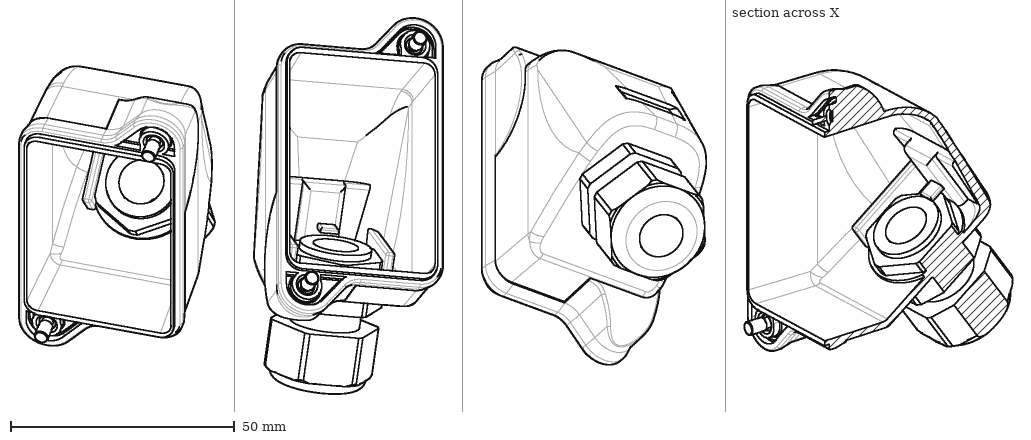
import cadquery as cq
import math


FLANGE_HALF_WIDTH = 18.99
FLANGE_HALF_HEIGHT = 27.7
FLANGE_CORNER_RADIUS = 5.5
FLANGE_RIM = 1.9
FLANGE_THICKNESS = 4.9
FLANGE_FLARE = 0.7
RIM_FILLET = 0.55
EAR_RADIUS = 6.55
EAR_X = FLANGE_HALF_WIDTH - EAR_RADIUS
EAR_Z = 29.6
EAR_RAMP_ANGLE = 49.0
EAR_RAMP_RADIUS = 4.4
EAR_DOME_RADIUS = 15.8
EAR_DOME_Y = 0.9
EAR_DOME_Z = 21.0
EAR_DOME_FILLET = 0.8

SCREW_RADIUS = 1.57
SCREW_NECK_RADIUS = 1.25
SCREW_NECK_LENGTH = 0.55
SCREW_TIP_Y = -4.7
SCREW_CHAMFER = 0.2
SCREW_BORE_RADIUS = 1.9
SCREW_BORE_DEPTH = 1.0
SCREW_BORE_CHAMFER = 0.55
POCKET_INSET = 1.8
POCKET_HUB_RADIUS = 3.4
POCKET_INNER_Z = 26.9
POCKET_DEPTH = 2.0
POCKET_FLOOR_CHAMFER = 0.3
HUB_BASE_INNER = 3.2
HUB_BASE_OUTER = 2.0

LIP_HALF_WIDTH = 17.3
LIP_HALF_HEIGHT = 26.3
LIP_HEIGHT = 1.2
LIP_CORNER_RADIUS = 3.6

REACH = 60.0
TILT = 35.0
WALL = 1.7
HOOD_HALF_HEIGHT = 26.7
HOOD_FRONT_HALF_WIDTH = 18.4
HOOD_BEND_HALF_WIDTH = 17.7
HOOD_BEND_Y = 17.6
HOOD_REAR_HALF_WIDTH = 12.7
HOOD_REAR_Y = 50.0
HOOD_BACK = 37.4
HOOD_FLOOR = 31.5
CROWN_RADIUS = 20.0
ROUND_TOP_FLAT = 13.0
ROUND_TOP_SIDE = 19.2
ROUND_TOP_SHOULDER = 31.5
ROUND_TOP_DRAFT = 0.05
ROUND_FOOT_FLAT = 2.3
ROUND_FOOT_SIDE = 15.1
ROUND_FOOT_SHOULDER = 26.0
ROUND_FOOT_DRAFT = 0.2
HOOD_CORNER_RADIUS = 4.2
FLOOR_FILLET = 2.4
FLOOR_THICKNESS = 1.9
CAVITY_CORNER_RADIUS = 2.5
CAVITY_FLOOR_FILLET = 2.2

GLAND_X = 1.4
GLAND_OFFSET = 18.95
BORE_RADIUS = 5.1
COLLAR_RADIUS = 8.1
COLLAR_TOP = 23.9
LOCKNUT_TOP = 25.4
LOCKNUT_FLATS = 20.0
LOCKNUT_CORNER_RADIUS = 11.1
WASHER_TOP = 28.7
WASHER_RADIUS = 11.8
HEX_FLATS = 21.9
HEX_CORNER_RADIUS = 12.3
BODY_HEX_END = 37.2
NECK_RADIUS = 7.85
CAP_START = 42.0
CAP_END = 56.0
CAP_ROUND = 2.6
CAP_CORNER_CHAMFER = 0.6

BLOCK_FACE = 33.2
BLOCK_TOP = 13.3
BLOCK_TOP_HALF_WIDTH = 10.8
BLOCK_FOOT_HALF_WIDTH = 8.2
RIB_FACE = 30.6
RIB_HALF_WIDTH = 4.8
RIB_FILLET = 1.5
BLOCK_FILLET = 0.9
LATCH_WIDTH = 4.1
LATCH_TOP = 22.2
LATCH_THICKNESS = 1.1
LATCH_FACE = 26.7
LATCH_FILLET = 0.4
GUIDE_THICKNESS = 2.1
GUIDE_TOP = 22.8
GUIDE_START = 12.0
GUIDE_CLEARANCE = 0.05
GUIDE_FILLET = 0.6

RECESS_TOP = 15.5
RECESS_LEDGE_Z = 3.15
RECESS_DEPTH = 1.1
RECESS_MOUTH_HALF_WIDTH = 8.8
RECESS_FLOOR_HALF_WIDTH = 6.2

SIN_TILT = math.sin(math.radians(TILT))
COS_TILT = math.cos(math.radians(TILT))

FACING_UP = cq.selectors.DirectionNthSelector(cq.Vector(0, -SIN_TILT, COS_TILT), -1)
FACING_DOWN = cq.selectors.DirectionNthSelector(cq.Vector(0, SIN_TILT, -COS_TILT), -1)
FACING_FRONT = cq.selectors.DirectionNthSelector(cq.Vector(0, -COS_TILT, -SIN_TILT), -1)
FRONTMOST = cq.selectors.DirectionMinMaxSelector(cq.Vector(0, -COS_TILT, -SIN_TILT), True)


def tilted(along):
    """Workplane across the gland axis: local x is X, local y runs to the back wall."""
    plane = cq.Plane(
        origin=(0, along * SIN_TILT, -along * COS_TILT),
        xDir=(1, 0, 0),
        normal=(0, -SIN_TILT, COS_TILT),
    )
    return cq.Workplane(plane)


def facing(y):
    """Workplane parallel to the sealing face at the given y; extrudes towards -Y."""
    return cq.Workplane("XZ", origin=(0, y, 0))


def turned(shape):
    """The same shape half a turn about the Y axis."""
    return shape.rotate((0, 0, 0), (0, 1, 0), 180)


def both_ears(shape):
    return shape.union(turned(shape))


def flange_outline(y, inset):
    """Closed outline of the flange with its two ears, drawn in by inset."""
    width = FLANGE_HALF_WIDTH - inset
    height = FLANGE_HALF_HEIGHT - inset
    radius = EAR_RADIUS - inset
    corner = FLANGE_CORNER_RADIUS - inset
    ramp_radius = EAR_RAMP_RADIUS + inset
    ramp = math.radians(EAR_RAMP_ANGLE)
    middle = (ramp - math.pi / 2) / 2
    ear_start = (EAR_X - radius * math.sin(ramp), EAR_Z + radius * math.cos(ramp))
    ear_middle = (EAR_X - radius * math.sin(middle), EAR_Z + radius * math.cos(middle))
    ear_end = (EAR_X + radius, EAR_Z)
    foot_x = ear_start[0] - (ear_start[1] - height) / math.tan(ramp)
    setback = ramp_radius * math.tan(ramp / 2)
    ramp_foot = (foot_x - setback, height)
    ramp_middle = (
        ramp_foot[0] + ramp_radius * math.sin(ramp / 2),
        height + ramp_radius * (1 - math.cos(ramp / 2)),
    )
    ramp_top = (foot_x + setback * math.cos(ramp), height + setback * math.sin(ramp))
    diagonal = corner * (1 - math.sqrt(0.5))

    outline = facing(y).moveTo(-width + corner, height)
    for side in (1, -1):
        def point(p):
            return (side * p[0], side * p[1])
        outline = (
            outline.lineTo(*point(ramp_foot))
            .threePointArc(point(ramp_middle), point(ramp_top))
            .lineTo(*point(ear_start))
            .threePointArc(point(ear_middle), point(ear_end))
            .lineTo(*point((width, -height + corner)))
            .threePointArc(
                point((width - diagonal, -height + diagonal)),
                point((width - corner, -height)),
            )
        )
    return outline.close()


def flange():
    rim = flange_outline(0, 0).extrude(-FLANGE_RIM).faces("<Y").edges().fillet(RIM_FILLET)
    lower = flange_outline(FLANGE_RIM, 0).wires().val()
    upper = flange_outline(FLANGE_THICKNESS, FLANGE_FLARE).wires().val()
    flare = cq.Workplane(cq.Solid.makeLoft([lower, upper], True))
    return rim.union(flare)


def ear_domes():
    """The two ears carried back from the flange and rounded off by cylinders across X."""
    prism = flange_outline(0, FLANGE_FLARE).extrude(-EAR_DOME_RADIUS - EAR_DOME_Y)
    dome = (
        cq.Workplane("YZ", origin=(-FLANGE_HALF_WIDTH, 0, 0))
        .center(EAR_DOME_Y, EAR_DOME_Z)
        .circle(EAR_DOME_RADIUS)
        .extrude(2 * FLANGE_HALF_WIDTH)
    )
    ear_side = cq.Workplane("XY").box(
        FLANGE_HALF_WIDTH, REACH, REACH, centered=(False, True, False)
    )
    ear = prism.intersect(dome).intersect(ear_side)
    side_point = (FLANGE_HALF_WIDTH, EAR_DOME_Y + EAR_DOME_RADIUS, EAR_DOME_Z)
    ear = ear.edges(cq.selectors.NearestToPointSelector(side_point)).fillet(EAR_DOME_FILLET)
    return both_ears(ear)


def hood_envelope(front, inset, floor_inset, corner, floor_fillet):
    """Solid hood shape; the cavity is the same shape drawn in by the wall thickness."""
    height = HOOD_HALF_HEIGHT - inset
    back = HOOD_BACK - inset
    floor = HOOD_FLOOR - floor_inset
    front_width = HOOD_FRONT_HALF_WIDTH - inset
    bend_width = HOOD_BEND_HALF_WIDTH - inset
    rear_width = HOOD_REAR_HALF_WIDTH - inset

    top_y = (back - height * SIN_TILT) / COS_TILT
    bottom_y = (back + height * SIN_TILT) / COS_TILT
    profile = (
        cq.Workplane("YZ", origin=(-FLANGE_HALF_WIDTH, 0, 0))
        .polyline([(front, -height), (front, height), (top_y, height), (bottom_y, -height)])
        .close()
        .extrude(2 * FLANGE_HALF_WIDTH)
    )
    crown_edge = cq.selectors.NearestToPointSelector((0, top_y, height))
    profile = profile.edges(crown_edge).fillet(CROWN_RADIUS - inset)

    plan = (
        cq.Workplane("XY", origin=(0, 0, -2 * height))
        .moveTo(0, front)
        .lineTo(front_width, front)
        .lineTo(bend_width, HOOD_BEND_Y)
        .tangentArcPoint((rear_width, HOOD_REAR_Y), relative=False)
        .lineTo(0, HOOD_REAR_Y)
        .mirrorY()
        .extrude(4 * height)
    )
    hood = profile.intersect(plan)
    for level in (height, -height):
        for side in (front_width, -front_width):
            edge = cq.selectors.NearestToPointSelector((side, HOOD_BEND_Y / 2, level))
            hood = hood.edges(edge).fillet(corner)

    hood = hood.intersect(rounded_back(inset, floor))
    return hood.faces(FACING_DOWN).edges().fillet(floor_fillet)


def rounded_back(inset, floor):
    """Tall D-shaped loft along the gland axis that rounds the hood's rear corners."""
    def section(along, flat, side, shoulder, draft):
        """Half-widths flat at the back and side at the shoulder, where the rounding starts."""
        back = HOOD_BACK - inset
        outer = side - inset
        start = (outer + draft * (shoulder + REACH), -REACH)
        return (
            tilted(along)
            .moveTo(-start[0], start[1])
            .lineTo(start[0], start[1])
            .lineTo(outer, shoulder)
            .spline([(flat, back)], tangents=[(-draft, 1), (-1, 0)], includeCurrent=True)
            .lineTo(-flat, back)
            .spline([(-outer, shoulder)], tangents=[(-1, 0), (-draft, -1)], includeCurrent=True)
            .close()
            .wires()
            .val()
        )
    upper = section(
        -REACH / 2, ROUND_TOP_FLAT, ROUND_TOP_SIDE, ROUND_TOP_SHOULDER, ROUND_TOP_DRAFT
    )
    lower = section(
        floor, ROUND_FOOT_FLAT, ROUND_FOOT_SIDE, ROUND_FOOT_SHOULDER, ROUND_FOOT_DRAFT
    )
    return cq.Workplane(cq.Solid.makeLoft([upper, lower], True))


def sealing_lip():
    return (
        facing(0)
        .rect(2 * LIP_HALF_WIDTH, 2 * LIP_HALF_HEIGHT)
        .extrude(LIP_HEIGHT)
        .edges("|Y")
        .fillet(LIP_CORNER_RADIUS)
    )


def tilted_box(x_range, tilted_range, along_range):
    """Box given by its ranges in X, towards the back wall and along the gland axis."""
    return (
        tilted(along_range[1])
        .moveTo(x_range[0], tilted_range[0])
        .lineTo(x_range[1], tilted_range[0])
        .lineTo(x_range[1], tilted_range[1])
        .lineTo(x_range[0], tilted_range[1])
        .close()
        .extrude(along_range[1] - along_range[0])
    )


def back_block():
    """Tapered block on the back wall that backs the finger recess, with its centre rib."""
    plane = cq.Plane(
        origin=(0, BLOCK_FACE * COS_TILT, BLOCK_FACE * SIN_TILT),
        xDir=(1, 0, 0),
        normal=(0, COS_TILT, SIN_TILT),
    )
    block = (
        cq.Workplane(plane)
        .polyline([
            (-BLOCK_TOP_HALF_WIDTH, BLOCK_TOP),
            (BLOCK_TOP_HALF_WIDTH, BLOCK_TOP),
            (BLOCK_FOOT_HALF_WIDTH, HOOD_FLOOR),
            (-BLOCK_FOOT_HALF_WIDTH, HOOD_FLOOR),
        ])
        .close()
        .extrude(HOOD_BACK - BLOCK_FACE)
    )
    top_edge = block.faces(FACING_UP).edges(FRONTMOST)
    block = top_edge.fillet(BLOCK_FILLET)
    rib = tilted_box((-RIB_HALF_WIDTH, RIB_HALF_WIDTH), (RIB_FACE, HOOD_BACK), (BLOCK_TOP, HOOD_FLOOR))
    rib = rib.faces(FACING_FRONT).edges().fillet(RIB_FILLET)
    return block.union(rib)


def latch():
    """Small catch on the rib, in line with the gland."""
    catch = tilted_box(
        (GLAND_X - LATCH_WIDTH / 2, GLAND_X + LATCH_WIDTH / 2),
        (LATCH_FACE, HOOD_BACK),
        (LATCH_TOP, LATCH_TOP + LATCH_THICKNESS),
    )
    return catch.faces(FACING_UP).edges().fillet(LATCH_FILLET)


def guide_walls():
    """Two walls on the floor that keep the locknut from turning."""
    inner = LOCKNUT_FLATS / 2 + GUIDE_CLEARANCE
    outer = inner + GUIDE_THICKNESS
    walls = []
    for x_range in ((GLAND_X - outer, GLAND_X - inner), (GLAND_X + inner, GLAND_X + outer)):
        wall = tilted_box(x_range, (GUIDE_START, HOOD_BACK), (GUIDE_TOP, HOOD_FLOOR))
        front_and_top = wall.faces(FACING_UP).add(wall.faces(FACING_FRONT))
        walls.append(front_and_top.edges().fillet(GUIDE_FILLET))
    return walls[0].union(walls[1])


def gland_disc(start, end, radius):
    return tilted(end).center(GLAND_X, GLAND_OFFSET).circle(radius).extrude(end - start)


def gland_hex(start, end, flats, corner_radius, turn):
    """Hexagon on the gland axis with its corners turned down to corner_radius."""
    across_corners = flats / math.cos(math.pi / 6)
    prism = (
        tilted(end)
        .center(GLAND_X, GLAND_OFFSET)
        .transformed(rotate=(0, 0, turn))
        .polygon(6, across_corners)
        .extrude(end - start)
    )
    return prism.intersect(gland_disc(start, end, corner_radius))


def gland():
    locknut = gland_hex(LOCKNUT_TOP, WASHER_TOP, LOCKNUT_FLATS, LOCKNUT_CORNER_RADIUS, 30)
    body_hex = gland_hex(HOOD_FLOOR, BODY_HEX_END, HEX_FLATS, HEX_CORNER_RADIUS, 0)
    cap = gland_hex(CAP_START, CAP_END, HEX_FLATS, HEX_CORNER_RADIUS, 0)
    cap_corners = gland_disc(CAP_START, CAP_END - CAP_ROUND, HEX_CORNER_RADIUS)
    cap_corners = cap_corners.faces(FACING_DOWN).edges().chamfer(CAP_CORNER_CHAMFER)
    cap_end = gland_disc(CAP_START, CAP_END, HEX_FLATS / 2).faces(FACING_DOWN).edges().fillet(CAP_ROUND)
    return (
        gland_disc(COLLAR_TOP, CAP_END - CAP_ROUND, NECK_RADIUS)
        .union(gland_disc(COLLAR_TOP, LOCKNUT_TOP, COLLAR_RADIUS))
        .union(locknut)
        .union(gland_disc(WASHER_TOP, HOOD_FLOOR, WASHER_RADIUS))
        .union(body_hex)
        .union(cap.intersect(cap_corners.union(cap_end)))
    )


def finger_recess():
    """Shallow recess across the back wall with sloping ends and a level lower ledge."""
    floor = HOOD_BACK - RECESS_DEPTH
    slot = (
        tilted(HOOD_FLOOR)
        .polyline([
            (-RECESS_FLOOR_HALF_WIDTH, floor),
            (RECESS_FLOOR_HALF_WIDTH, floor),
            (RECESS_MOUTH_HALF_WIDTH, HOOD_BACK),
            (RECESS_MOUTH_HALF_WIDTH, HOOD_BACK + RECESS_DEPTH),
            (-RECESS_MOUTH_HALF_WIDTH, HOOD_BACK + RECESS_DEPTH),
            (-RECESS_MOUTH_HALF_WIDTH, HOOD_BACK),
        ])
        .close()
        .extrude(HOOD_FLOOR - RECESS_TOP)
    )
    above_ledge = (
        cq.Workplane("XY", origin=(0, HOOD_REAR_Y, RECESS_LEDGE_Z))
        .rect(2 * RECESS_MOUTH_HALF_WIDTH, HOOD_REAR_Y)
        .extrude(HOOD_HALF_HEIGHT)
    )
    return slot.intersect(above_ledge)


def ear_pockets():
    """Relief pocket in each ear, leaving a round hub for the screw."""
    hub = facing(0).center(EAR_X, EAR_Z).circle(POCKET_HUB_RADIUS).extrude(-POCKET_DEPTH)
    outside = cq.Workplane("XY", origin=(0, 0, POCKET_INNER_Z)).box(
        FLANGE_HALF_WIDTH, REACH, FLANGE_HALF_HEIGHT, centered=(False, True, False)
    )
    pocket = flange_outline(0, POCKET_INSET).extrude(-POCKET_DEPTH).intersect(outside)
    hub_base = (
        facing(0)
        .moveTo(EAR_X - HUB_BASE_INNER, EAR_Z)
        .lineTo(EAR_X - HUB_BASE_INNER, POCKET_INNER_Z)
        .lineTo(EAR_X + HUB_BASE_OUTER, POCKET_INNER_Z)
        .lineTo(EAR_X + HUB_BASE_OUTER, EAR_Z)
        .close()
        .extrude(-POCKET_DEPTH)
    )
    pocket = pocket.cut(hub).cut(hub_base)
    return both_ears(pocket.faces(">Y").edges().chamfer(POCKET_FLOOR_CHAMFER))


def screw_bores():
    bore = facing(0).center(EAR_X, EAR_Z).circle(SCREW_BORE_RADIUS).extrude(-SCREW_BORE_DEPTH)
    mouth = cq.Workplane(
        cq.Solid.makeCone(
            SCREW_BORE_RADIUS + SCREW_BORE_CHAMFER,
            SCREW_BORE_RADIUS,
            SCREW_BORE_CHAMFER,
            cq.Vector(EAR_X, 0, EAR_Z),
            cq.Vector(0, 1, 0),
        )
    )
    return both_ears(bore.union(mouth))


def screws():
    neck_start = facing(SCREW_BORE_DEPTH).center(EAR_X, EAR_Z).circle(SCREW_NECK_RADIUS)
    neck = neck_start.extrude(SCREW_BORE_DEPTH + SCREW_NECK_LENGTH)
    shank = (
        facing(-SCREW_NECK_LENGTH)
        .center(EAR_X, EAR_Z)
        .circle(SCREW_RADIUS)
        .extrude(-SCREW_TIP_Y - SCREW_NECK_LENGTH)
        .faces("<Y")
        .edges()
        .chamfer(SCREW_CHAMFER)
    )
    return both_ears(neck.union(shank))


hood = hood_envelope(0, 0, 0, HOOD_CORNER_RADIUS, FLOOR_FILLET)
cavity = hood_envelope(-LIP_HEIGHT, WALL, FLOOR_THICKNESS, CAVITY_CORNER_RADIUS, CAVITY_FLOOR_FILLET)
fittings = back_block().union(latch()).union(guide_walls()).intersect(hood)

result = (
    flange()
    .union(ear_domes())
    .union(hood)
    .union(sealing_lip())
    .cut(cavity)
    .union(fittings)
    .cut(finger_recess())
    .union(gland())
    .cut(gland_disc(COLLAR_TOP, CAP_END, BORE_RADIUS))
    .cut(ear_pockets())
    .cut(screw_bores())
    .union(screws())
)